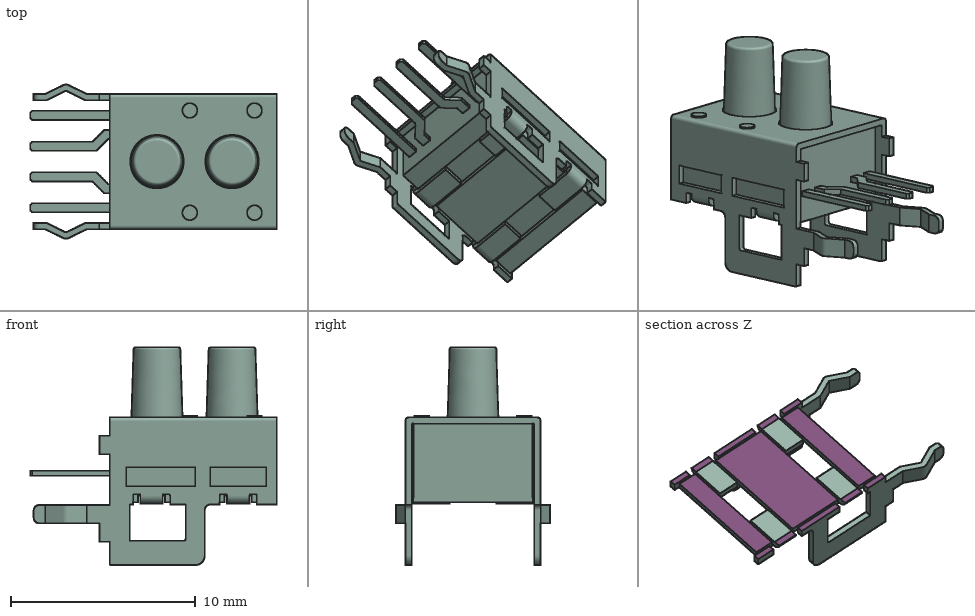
import cadquery as cq
import math


SHELL_LENGTH = 9.06
SHELL_WIDTH = 7.32
SHEET = 0.35
ROOF_EDGE_RADIUS = 0.2
ROOF_INNER_RADIUS = 0.07
WALL_BOTTOM = -4.73
OUTER_Y = SHELL_WIDTH / 2
INNER_Y = OUTER_Y - SHEET

FOOT_LENGTH = 5.16
FOOT_BOTTOM = -8.0
FOOT_TOE_RADIUS = 0.51
FOOT_ROOT_RADIUS = 0.3
FOOT_HEEL_RADIUS = 0.08
OPENING_START = 1.1
OPENING_END = 4.11
OPENING_BOTTOM = -6.68
OPENING_RADIUS = 0.11

EAR_REACH = 0.55
STEP = 1.0
UPPER_EAR_TOP = -1.0
LEG_TOP = -4.74
LEG_BOTTOM = LEG_TOP - STEP
LOWER_EAR_BOTTOM = LEG_BOTTOM - STEP
LEG_REACH = 4.11
LEG_TIP_RADIUS = 0.32
BULGE_X = -2.358
BULGE_HALF_RUN = 1.049
BULGE_RISE = 0.515

WINDOW_TOP = -2.71
WINDOW_BOTTOM = -3.73
WINDOW_SPANS = [(0.91, 4.64), (5.44, 8.47)]

TAB_CENTERS = [2.27, 6.96]
TAB_WIDTH = 1.23
TAB_END_Y = 1.27
TAB_BOTTOM = -4.68
TAB_INNER_RADIUS = 0.08
NOTCH_WIDTH = 2.0
NOTCH_TOP = -4.15
NOTCH_RADIUS = 0.1
GROOVE_WIDTH = 1.45
GROOVE_TOP = -4.25

BODY_GAP = 0.1
BODY_FRONT = 0.37
BODY_BOTTOM = -4.61

BUTTON_X = [2.57, 6.63]
BUTTON_HOLE_DIAMETER = 2.9
BUTTON_HEIGHT = 3.8
BUTTON_BASE_DIAMETER = 2.78
BUTTON_TOP_DIAMETER = 2.54
BUTTON_EDGE_RADIUS = 0.15

RIVET_DIAMETER = 0.8
RIVET_HEIGHT = 0.08
RIVET_X = [4.34, 7.84]
RIVET_Y = 2.77

PIN_WIDTH = 0.51
PIN_TOP = -2.89
PIN_THICKNESS = 0.3
PIN_REACH = 4.3
PIN_TIP_CHAMFER = 0.12
PIN_INNER_Y = 0.83
PIN_OUTER_Y = 2.5
PIN_OFFSET = 0.64
PIN_OFFSET_X = -0.17


def box(x0, x1, y0, y1, z0, z1):
    return cq.Workplane("XY").box(x1 - x0, y1 - y0, z1 - z0, centered=False).translate((x0, y0, z0))


def both_sides(part):
    return part.union(part.mirror("XZ"))


def make_cover():
    """Roof and plain side walls, open at the front, rear and bottom."""
    outer = box(0, SHELL_LENGTH, -OUTER_Y, OUTER_Y, WALL_BOTTOM, 0)
    outer = outer.edges("|X and >Z").fillet(ROOF_EDGE_RADIUS)
    inner = box(0, SHELL_LENGTH, -INNER_Y, INNER_Y, WALL_BOTTOM, -SHEET)
    inner = inner.edges("|X and >Z").fillet(ROOF_INNER_RADIUS)
    return outer.cut(inner)


def make_foot():
    foot = box(0, FOOT_LENGTH, INNER_Y, OUTER_Y, FOOT_BOTTOM, WALL_BOTTOM)
    foot = foot.edges("|Y and >X and <Z").fillet(FOOT_TOE_RADIUS)
    foot = foot.edges("|Y and <X and <Z").fillet(FOOT_HEEL_RADIUS)
    opening = box(OPENING_START, OPENING_END, INNER_Y, OUTER_Y, OPENING_BOTTOM, WALL_BOTTOM)
    opening = opening.edges("|Y and >X and <Z").fillet(OPENING_RADIUS)
    root_x = FOOT_LENGTH + FOOT_ROOT_RADIUS
    root_z = WALL_BOTTOM - FOOT_ROOT_RADIUS
    root = box(FOOT_LENGTH, root_x, INNER_Y, OUTER_Y, root_z, WALL_BOTTOM)
    root_round = (
        cq.Workplane("XZ", origin=(root_x, OUTER_Y, root_z))
        .circle(FOOT_ROOT_RADIUS)
        .extrude(SHEET)
    )
    return foot.cut(opening).union(root.cut(root_round))


def make_ears():
    upper = box(-EAR_REACH, 0, INNER_Y, OUTER_Y, UPPER_EAR_TOP - STEP, UPPER_EAR_TOP)
    lower = box(-EAR_REACH, 0, INNER_Y, OUTER_Y, LOWER_EAR_BOTTOM, LEG_BOTTOM)
    return upper.union(lower)


def make_snap_leg():
    """Leg of constant thickness with an outward bulge rounded about its inner peak."""
    slope = math.atan2(BULGE_RISE, BULGE_HALF_RUN)
    outer_half_run = BULGE_HALF_RUN + SHEET * math.tan(slope / 2)
    peak_y = INNER_Y + BULGE_RISE
    round_half_run = SHEET * math.sin(slope)
    round_y = peak_y + SHEET * math.cos(slope)
    leg = (
        cq.Workplane("XY", origin=(0, 0, LEG_BOTTOM))
        .moveTo(0, INNER_Y)
        .lineTo(BULGE_X + BULGE_HALF_RUN, INNER_Y)
        .lineTo(BULGE_X, peak_y)
        .lineTo(BULGE_X - BULGE_HALF_RUN, INNER_Y)
        .lineTo(-LEG_REACH, INNER_Y)
        .lineTo(-LEG_REACH, OUTER_Y)
        .lineTo(BULGE_X - outer_half_run, OUTER_Y)
        .lineTo(BULGE_X - round_half_run, round_y)
        .threePointArc((BULGE_X, peak_y + SHEET), (BULGE_X + round_half_run, round_y))
        .lineTo(BULGE_X + outer_half_run, OUTER_Y)
        .lineTo(0, OUTER_Y)
        .close()
        .extrude(STEP)
    )
    return leg.edges("|Y and <X").fillet(LEG_TIP_RADIUS)


def make_notch(center):
    notch = box(
        center - NOTCH_WIDTH / 2, center + NOTCH_WIDTH / 2, INNER_Y, OUTER_Y, WALL_BOTTOM, NOTCH_TOP
    )
    return notch.edges("|Y and >Z").fillet(NOTCH_RADIUS)


def make_tab(center):
    """Strip running down in the wall plane, then bent inward under the body."""
    outer_radius = TAB_INNER_RADIUS + SHEET
    bend_y = INNER_Y - TAB_INNER_RADIUS
    bend_z = TAB_BOTTOM + outer_radius
    diagonal = math.sqrt(0.5)
    return (
        cq.Workplane("YZ", origin=(center - TAB_WIDTH / 2, 0, 0))
        .moveTo(OUTER_Y, NOTCH_TOP)
        .lineTo(OUTER_Y, bend_z)
        .threePointArc(
            (bend_y + outer_radius * diagonal, bend_z - outer_radius * diagonal), (bend_y, TAB_BOTTOM)
        )
        .lineTo(TAB_END_Y, TAB_BOTTOM)
        .lineTo(TAB_END_Y, TAB_BOTTOM + SHEET)
        .lineTo(bend_y, TAB_BOTTOM + SHEET)
        .threePointArc(
            (bend_y + TAB_INNER_RADIUS * diagonal, bend_z - TAB_INNER_RADIUS * diagonal), (INNER_Y, bend_z)
        )
        .lineTo(INNER_Y, NOTCH_TOP)
        .close()
        .extrude(TAB_WIDTH)
    )


def make_shell():
    shell = make_cover()
    for attachment in (make_foot(), make_ears(), make_snap_leg()):
        shell = shell.union(both_sides(attachment))
    for start, end in WINDOW_SPANS:
        shell = shell.cut(box(start, end, INNER_Y, OUTER_Y, WINDOW_BOTTOM, WINDOW_TOP))
        shell = shell.cut(box(start, end, -OUTER_Y, -INNER_Y, WINDOW_BOTTOM, WINDOW_TOP))
    for center in TAB_CENTERS:
        shell = shell.cut(both_sides(make_notch(center)))
        shell = shell.union(both_sides(make_tab(center)))
    for x in BUTTON_X:
        hole = cq.Workplane("XY", origin=(x, 0, -SHEET)).circle(BUTTON_HOLE_DIAMETER / 2).extrude(SHEET)
        shell = shell.cut(hole)
    for x in RIVET_X:
        for y in (-RIVET_Y, RIVET_Y):
            rivet = cq.Workplane("XY", origin=(x, y, 0)).circle(RIVET_DIAMETER / 2).extrude(RIVET_HEIGHT)
            shell = shell.union(rivet)
    return shell


def make_body():
    """Plastic block, centred under the buttons, with cross grooves for the folded tabs."""
    half_width = INNER_Y - BODY_GAP
    body_rear = sum(BUTTON_X) - BODY_FRONT
    body = box(BODY_FRONT, body_rear, -half_width, half_width, BODY_BOTTOM, -SHEET)
    for center in TAB_CENTERS:
        start = center - GROOVE_WIDTH / 2
        body = body.cut(
            box(start, start + GROOVE_WIDTH, -half_width, half_width, BODY_BOTTOM, GROOVE_TOP)
        )
    return body


def make_button(x):
    """Tapered button standing on the body, its taper continued down through the roof."""
    taper = (BUTTON_BASE_DIAMETER - BUTTON_TOP_DIAMETER) / BUTTON_HEIGHT
    foot_diameter = BUTTON_BASE_DIAMETER + taper * SHEET
    button = (
        cq.Workplane("XY", origin=(x, 0, -SHEET))
        .circle(foot_diameter / 2)
        .workplane(offset=SHEET + BUTTON_HEIGHT)
        .circle(BUTTON_TOP_DIAMETER / 2)
        .loft()
    )
    return button.faces(">Z").edges().fillet(BUTTON_EDGE_RADIUS)


def extrude_pin(points):
    pin = cq.Workplane("XY", origin=(0, 0, PIN_TOP)).polyline(points).close().extrude(-PIN_THICKNESS)
    return pin.edges("|Z and <X").chamfer(PIN_TIP_CHAMFER)


def make_straight_pin():
    low = PIN_OUTER_Y - PIN_WIDTH / 2
    high = PIN_OUTER_Y + PIN_WIDTH / 2
    return extrude_pin([(-PIN_REACH, low), (BODY_FRONT, low), (BODY_FRONT, high), (-PIN_REACH, high)])


def make_stepped_pin():
    """Pin that steps sideways at 45 degrees, keeping its width through both bends."""
    low = PIN_INNER_Y - PIN_WIDTH / 2
    high = PIN_INNER_Y + PIN_WIDTH / 2
    miter = PIN_WIDTH / 2 * math.tan(math.radians(45 / 2))
    low_x = PIN_OFFSET_X + miter
    high_x = PIN_OFFSET_X - miter
    return extrude_pin(
        [
            (-PIN_REACH, low),
            (low_x - PIN_OFFSET, low),
            (low_x, low + PIN_OFFSET),
            (BODY_FRONT, low + PIN_OFFSET),
            (BODY_FRONT, high + PIN_OFFSET),
            (high_x, high + PIN_OFFSET),
            (high_x - PIN_OFFSET, high),
            (-PIN_REACH, high),
        ]
    )


result = make_shell().union(make_body())
for button_x in BUTTON_X:
    result = result.union(make_button(button_x))
for contact in (make_straight_pin(), make_stepped_pin()):
    result = result.union(both_sides(contact))